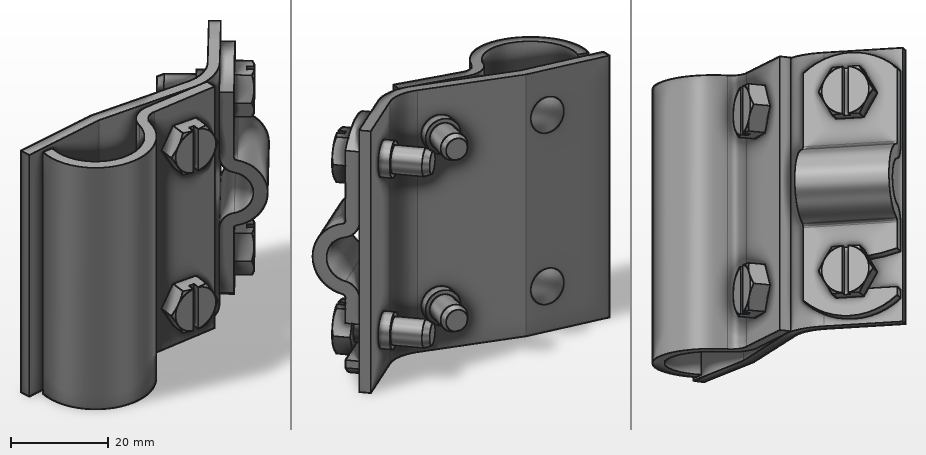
import cadquery as cq
import math


plate_height = 58.0
plate_thickness = 2.5
middle_top = 4.8
middle_bottom = -19.2
bend_radius = 9.25
panel_angle = 55
panel_length = 16.8
tail_angle = 10
tail_length = 20.2
collar_diameter = 7.8
collar_length = 2.4
dome_radius = 4.0
dome_height = 1.0
dome_offset = 5.2

row_offset = 19.0
shank_diameter = 6.0
shank_length = 16.0
tip_diameter = 4.75
tip_length = 1.5
head_width = 10.0
head_height = 4.05
head_bevel_angle = 30
slot_width = 1.2
slot_depth = 1.55

hook_thickness = 2.5
hook_tilt = 5
hook_flange_above = 2.2
hook_drop = 29.35
hook_inner_radius = 10.0
hook_neck_radius = 3.5
hook_lip = 2.0

saddle_thickness = 3.0
saddle_width = 20.0
saddle_end_height = 48.1
saddle_edge_radius = 15.0
tunnel_radius = 5.0
tunnel_axis_height = 2.0
saddle_neck_radius = 0.8
swing_slot_width = 6.7
saddle_position = 6.4


def polar(centre, radius, degrees):
    """Point at the given radius and angle from a centre."""
    angle = math.radians(degrees)
    return (centre[0] + radius * math.cos(angle), centre[1] + radius * math.sin(angle))


bend_centre = (-bend_radius, middle_top)
panel_start = polar(bend_centre, bend_radius, panel_angle)
panel_end = polar(panel_start, panel_length, panel_angle + 90)
tail_start = (0, middle_bottom)
tail_end = polar(tail_start, tail_length, tail_angle - 90)
saddle_middle = polar(panel_start, saddle_position, panel_angle + 90)


def frame(point, normal_angle):
    """Plane at an XY point, facing the given angle in XY; its X runs up the plate, its Y along Z."""
    normal = polar((0, 0), 1, normal_angle)
    along = polar((0, 0), 1, normal_angle + 90)
    return cq.Plane(origin=(*point, 0), xDir=(*along, 0), normal=(*normal, 0))


middle_rear = frame((0, 0), 0)
panel_rear = frame(saddle_middle, panel_angle)
tail_rear = frame(polar(tail_start, dome_offset, tail_angle - 90), tail_angle)
row_points = [(0, -row_offset), (0, row_offset)]


def plate_sheet():
    outer_radius = bend_radius + plate_thickness
    mitre_shift = plate_thickness * math.tan(math.radians(tail_angle / 2))
    return (
        cq.Workplane("XY", origin=(0, 0, -plate_height / 2))
        .moveTo(*tail_end)
        .lineTo(*tail_start)
        .lineTo(0, middle_top)
        .threePointArc(polar(bend_centre, bend_radius, panel_angle / 2), panel_start)
        .lineTo(*panel_end)
        .lineTo(*polar(panel_end, plate_thickness, panel_angle))
        .lineTo(*polar(bend_centre, outer_radius, panel_angle))
        .threePointArc(
            polar(bend_centre, outer_radius, panel_angle / 2),
            (plate_thickness, middle_top),
        )
        .lineTo(plate_thickness, middle_bottom + mitre_shift)
        .lineTo(*polar(tail_end, plate_thickness, tail_angle))
        .close()
        .extrude(plate_height)
    )


def dome():
    """Spherical cap standing on the XY plane and bulging along -Z."""
    ball_radius = (dome_radius**2 + dome_height**2) / (2 * dome_height)
    half_angle = math.degrees(math.asin(dome_radius / ball_radius))
    ball_centre = (0, ball_radius - dome_height)
    return (
        cq.Workplane("XZ")
        .lineTo(dome_radius, 0)
        .threePointArc(polar(ball_centre, ball_radius, half_angle / 2 - 90), (0, -dome_height))
        .close()
        .revolve(360, (0, 0), (0, 1))
        .val()
    )


def make_plate():
    plate = plate_sheet()
    for rear in (middle_rear, panel_rear):
        collars = cq.Workplane(rear).pushPoints(row_points).circle(collar_diameter / 2)
        plate = plate.union(collars.extrude(-collar_length))
        holes = (
            cq.Workplane(rear)
            .workplane(offset=-collar_length)
            .pushPoints(row_points)
            .circle(shank_diameter / 2)
        )
        plate = plate.cut(holes.extrude(collar_length + plate_thickness))
    for x, y in row_points:
        placed_dome = dome().moved(cq.Location((x, y, 0))).moved(tail_rear.location)
        plate = plate.union(cq.Workplane(placed_dome))
    return plate


hook_contact = polar(bend_centre, bend_radius + plate_thickness, hook_tilt)
hook_frame = cq.Plane(
    origin=(*hook_contact, -plate_height / 2),
    xDir=(*polar((0, 0), 1, hook_tilt), 0),
    normal=(0, 0, 1),
)
head_corner_radius = head_width / math.sqrt(3)
hook_seat = (
    hook_contact[0]
    + hook_thickness / math.cos(math.radians(hook_tilt))
    + (hook_contact[1] + head_corner_radius) * math.tan(math.radians(hook_tilt))
)


def make_hook():
    outer_radius = hook_inner_radius + hook_thickness
    rear_neck_radius = hook_neck_radius + hook_thickness
    centre = (hook_thickness, -hook_drop)
    neck_distance = outer_radius + hook_neck_radius
    neck_angle = math.degrees(math.acos(hook_neck_radius / neck_distance))
    neck_centre = polar(centre, neck_distance, neck_angle)
    neck_middle_angle = 180 + neck_angle / 2
    hook_middle_angle = (neck_angle - 90) / 2
    inner_lip_angle = -90 - math.degrees(math.asin(hook_lip / hook_inner_radius))
    outer_lip_angle = -90 - math.degrees(math.asin(hook_lip / outer_radius))
    hook = (
        cq.Workplane(hook_frame)
        .moveTo(0, hook_flange_above)
        .lineTo(0, neck_centre[1])
        .threePointArc(
            polar(neck_centre, rear_neck_radius, neck_middle_angle),
            polar(centre, hook_inner_radius, neck_angle),
        )
        .threePointArc(
            polar(centre, hook_inner_radius, hook_middle_angle),
            polar(centre, hook_inner_radius, inner_lip_angle),
        )
        .lineTo(*polar(centre, outer_radius, outer_lip_angle))
        .threePointArc(
            polar(centre, outer_radius, hook_middle_angle),
            polar(centre, outer_radius, neck_angle),
        )
        .threePointArc(
            polar(neck_centre, hook_neck_radius, neck_middle_angle),
            (hook_thickness, neck_centre[1]),
        )
        .lineTo(hook_thickness, hook_flange_above)
        .close()
        .extrude(plate_height)
    )
    holes = cq.Workplane(middle_rear).pushPoints(row_points).circle(shank_diameter / 2)
    return hook.cut(holes.extrude(hook_seat))


def saddle_sheet():
    """Bent strip lying on the XY plane, with its tunnel along X."""
    outer_radius = tunnel_radius + saddle_thickness
    inner_neck_radius = saddle_neck_radius + saddle_thickness
    centre = (0, tunnel_axis_height)
    neck_height = saddle_thickness + saddle_neck_radius
    neck_distance = outer_radius + saddle_neck_radius
    neck_angle = math.degrees(math.asin((neck_height - tunnel_axis_height) / neck_distance))
    neck_right = polar(centre, neck_distance, neck_angle)
    neck_left = (-neck_right[0], neck_height)
    turn_right = (180 + neck_angle + 270) / 2
    turn_left = 180 - turn_right
    half_height = plate_height / 2
    return (
        cq.Workplane("YZ", origin=(-saddle_width / 2, 0, 0))
        .moveTo(-half_height, 0)
        .lineTo(neck_left[0], 0)
        .threePointArc(
            polar(neck_left, inner_neck_radius, turn_left),
            polar(centre, tunnel_radius, 180 - neck_angle),
        )
        .threePointArc(polar(centre, tunnel_radius, 90), polar(centre, tunnel_radius, neck_angle))
        .threePointArc(polar(neck_right, inner_neck_radius, turn_right), (neck_right[0], 0))
        .lineTo(half_height, 0)
        .lineTo(half_height, saddle_thickness)
        .lineTo(neck_right[0], saddle_thickness)
        .threePointArc(
            polar(neck_right, saddle_neck_radius, turn_right),
            polar(centre, outer_radius, neck_angle),
        )
        .threePointArc(polar(centre, outer_radius, 90), polar(centre, outer_radius, 180 - neck_angle))
        .threePointArc(
            polar(neck_left, saddle_neck_radius, turn_left),
            (neck_left[0], saddle_thickness),
        )
        .lineTo(-half_height, saddle_thickness)
        .close()
        .extrude(saddle_width)
    )


def swing_slot():
    """Slot from the lower screw out to the panel end of the saddle.

    Its upper wall is an arc about the upper screw, so that the saddle swings on that screw.
    """
    half_slot = swing_slot_width / 2
    wall_radius = 2 * row_offset - half_slot
    mouth = saddle_width / 2
    end_turn = math.degrees(math.asin(mouth / wall_radius))
    upper_screw = (0, row_offset)
    floor = -row_offset - half_slot
    return (
        cq.Workplane("XY")
        .moveTo(0, floor)
        .lineTo(mouth, floor)
        .lineTo(*polar(upper_screw, wall_radius, end_turn - 90))
        .threePointArc(
            polar(upper_screw, wall_radius, end_turn / 2 - 90),
            (0, -row_offset + half_slot),
        )
        .threePointArc((-half_slot, -row_offset), (0, floor))
        .close()
        .extrude(saddle_thickness)
    )


def make_saddle():
    half_width = saddle_width / 2
    end = saddle_end_height / 2
    bulge = saddle_edge_radius - math.sqrt(saddle_edge_radius**2 - half_width**2)
    full_height = tunnel_axis_height + tunnel_radius + saddle_thickness
    outline = (
        cq.Workplane("XY")
        .moveTo(-half_width, -end)
        .threePointArc((0, -end - bulge), (half_width, -end))
        .lineTo(half_width, end)
        .threePointArc((0, end + bulge), (-half_width, end))
        .close()
        .extrude(full_height)
    )
    pivot_hole = cq.Workplane("XY").center(0, row_offset).circle(shank_diameter / 2)
    saddle = (
        saddle_sheet()
        .intersect(outline)
        .cut(pivot_hole.extrude(saddle_thickness))
        .cut(swing_slot())
    )
    on_panel = cq.Workplane(panel_rear).workplane(offset=plate_thickness).plane
    return saddle.val().moved(on_panel.location)


def make_screw():
    """Slotted hexagon screw along Z, with the underside of its head at Z = 0."""
    shank_radius = shank_diameter / 2
    shank = (
        cq.Workplane("XZ")
        .lineTo(shank_radius, 0)
        .lineTo(shank_radius, tip_length - shank_length)
        .lineTo(tip_diameter / 2, -shank_length)
        .lineTo(0, -shank_length)
        .close()
        .revolve(360, (0, 0), (0, 1))
    )
    bevel_drop = (head_corner_radius - head_width / 2) * math.tan(math.radians(head_bevel_angle))
    bevel_envelope = (
        cq.Workplane("XZ")
        .lineTo(head_corner_radius, 0)
        .lineTo(head_corner_radius, head_height - bevel_drop)
        .lineTo(head_width / 2, head_height)
        .lineTo(0, head_height)
        .close()
        .revolve(360, (0, 0), (0, 1))
    )
    head = cq.Workplane("XY").polygon(6, 2 * head_corner_radius).extrude(head_height)
    slot = (
        cq.Workplane("XY", origin=(0, 0, head_height - slot_depth))
        .rect(slot_width, 2 * head_corner_radius)
        .extrude(slot_depth)
    )
    return head.intersect(bevel_envelope).cut(slot).union(shank).val()


def make_screws():
    screw = make_screw()
    screws = []
    for rear, seat in ((middle_rear, hook_seat), (panel_rear, plate_thickness + saddle_thickness)):
        for x, y in row_points:
            screws.append(screw.moved(cq.Location((x, y, seat))).moved(rear.location))
    return screws


plate = make_plate()
hook = make_hook()
saddle = make_saddle()
screws = make_screws()

result = cq.Compound.makeCompound([plate.val(), hook.val(), saddle, *screws])